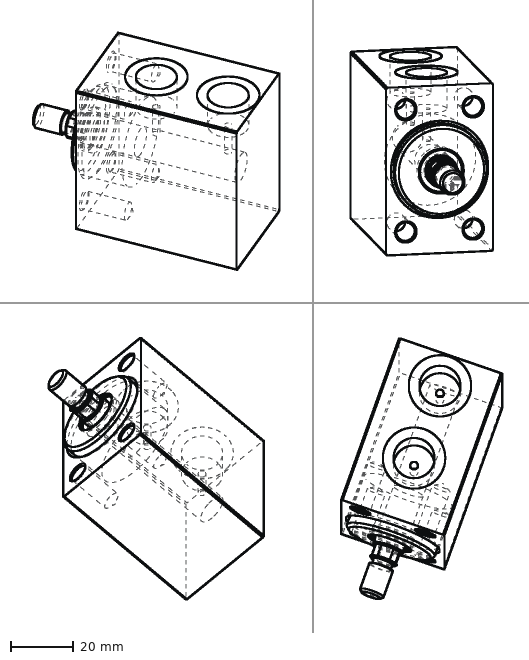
import cadquery as cq
import math


LENGTH = 56.0
WIDTH = 35.0
HEIGHT = 55.0
EDGE_CHAMFER = 0.5

MOUNT_SPACING_Y = 22.0
MOUNT_SPACING_Z = 40.05
MOUNT_DIAMETER = 6.0
MOUNT_MOUTH_DIAMETER = 7.0
MOUNT_DEPTH = 15.4
DRILL_TIP_ANGLE = 118.0

PORT_FRONT_X = 20.55
PORT_SPACING = 25.0
PORT_DIAMETER = 13.2
PORT_DEPTH = 12.0
SPOT_FACE_DIAMETER = 20.0
SPOT_FACE_DEPTH = 0.1
OIL_HOLE_DIAMETER = 2.5

GLAND_DIAMETER = 29.9
GLAND_PROJECTION = 3.0
GLAND_DEPTH = 15.0
GLAND_CHAMFER = 1.0
GLAND_POCKET_CHAMFER = 1.0

WIPER_DIAMETER = 14.6
WIPER_SINK = 0.5
WIPER_DISH_DIAMETER = 13.8
WIPER_DISH_DEPTH = 0.8
WIPER_LENGTH = 3.0

OVERALL_LENGTH = 77.0
ROD_PROJECTION = OVERALL_LENGTH - LENGTH
ROD_DIAMETER = 10.0
ROD_CHAMFER = 0.5
ROD_END_X = 50.05
THREAD_DIAMETER = 8.0
THREAD_CHAMFER = 0.8
THREAD_LENGTH = 9.7
RELIEF_DIAMETER = 6.4
RELIEF_TAPER_DIAMETER = 6.55
RELIEF_TAPER_LENGTH = 0.5
RELIEF_END = 11.6
FLATS_START = 12.1
FLATS_END = 16.0
FLATS_DIAMETER = ROD_DIAMETER - 2 * ROD_CHAMFER
ACROSS_FLATS = 8.0


def revolved(profile):
    """Solid turned about the X axis from its (x, radius) corners."""
    points = [(profile[0][0], 0), *profile]
    if profile[-1][1] > 0:
        points.append((profile[-1][0], 0))
    return cq.Workplane("XZ").polyline(points).close().revolve(360, (0, 0, 0), (1, 0, 0))


def cylinder_x(diameter, start, end):
    return revolved([(start, diameter / 2), (end, diameter / 2)])


def cylinder_z(diameter, x, bottom, top):
    return cq.Workplane("XY", origin=(x, 0, bottom)).circle(diameter / 2).extrude(top - bottom)


def mounting_hole(y, z):
    """Countersunk blind hole with a conical drill tip."""
    radius = MOUNT_DIAMETER / 2
    mouth_radius = MOUNT_MOUTH_DIAMETER / 2
    tip_length = radius / math.tan(math.radians(DRILL_TIP_ANGLE / 2))
    profile = [
        (0, mouth_radius),
        (mouth_radius - radius, radius),
        (MOUNT_DEPTH, radius),
        (MOUNT_DEPTH + tip_length, 0),
    ]
    return revolved(profile).translate((0, y, z))


def port(x):
    """Spot-faced port with a thin oil hole leading down to the rod."""
    top = HEIGHT / 2
    floor = top - PORT_DEPTH
    spot_face = cylinder_z(SPOT_FACE_DIAMETER, x, top - SPOT_FACE_DEPTH, top)
    bore = cylinder_z(PORT_DIAMETER, x, floor, top)
    oil_hole = cylinder_z(OIL_HOLE_DIAMETER, x, 0, floor)
    return spot_face.union(bore).union(oil_hole)


def gland_pocket():
    radius = GLAND_DIAMETER / 2
    profile = [
        (0, radius + GLAND_POCKET_CHAMFER),
        (GLAND_POCKET_CHAMFER, radius),
        (GLAND_DEPTH, radius),
    ]
    return revolved(profile)


def make_housing():
    block = cq.Workplane("XY").box(LENGTH, WIDTH, HEIGHT).translate((LENGTH / 2, 0, 0))
    block = block.edges("|X").chamfer(EDGE_CHAMFER)
    block = block.cut(gland_pocket())
    block = block.cut(cylinder_x(ROD_DIAMETER, 0, ROD_END_X))
    for x in (PORT_FRONT_X, PORT_FRONT_X + PORT_SPACING):
        block = block.cut(port(x))
    for y in (-MOUNT_SPACING_Y / 2, MOUNT_SPACING_Y / 2):
        for z in (-MOUNT_SPACING_Z / 2, MOUNT_SPACING_Z / 2):
            block = block.cut(mounting_hole(y, z))
    return block


def make_gland():
    face = -GLAND_PROJECTION
    radius = GLAND_DIAMETER / 2
    profile = [
        (face, radius - GLAND_CHAMFER),
        (face + GLAND_CHAMFER, radius),
        (GLAND_DEPTH, radius),
    ]
    wiper_seat = cylinder_x(WIPER_DIAMETER, face, face + WIPER_SINK + WIPER_LENGTH)
    rod_bore = cylinder_x(ROD_DIAMETER, face, GLAND_DEPTH)
    return revolved(profile).cut(wiper_seat).cut(rod_bore)


def make_wiper():
    """Ring around the rod, dished so that a thin rim stands at its outer edge."""
    front = -GLAND_PROJECTION + WIPER_SINK
    back = front + WIPER_LENGTH
    ring = cylinder_x(WIPER_DIAMETER, front, back)
    dish = cylinder_x(WIPER_DISH_DIAMETER, front, front + WIPER_DISH_DEPTH)
    rod_bore = cylinder_x(ROD_DIAMETER, front, back)
    return ring.cut(dish).cut(rod_bore)


def wrench_flats(tip):
    """Material around a square section that leaves four flats on the rod."""
    length = FLATS_END - FLATS_START
    blank = 2 * ROD_DIAMETER
    section = cq.Workplane("YZ", origin=(tip + FLATS_START, 0, 0))
    section = section.rect(blank, blank).rect(ACROSS_FLATS, ACROSS_FLATS)
    return section.extrude(length)


def make_rod():
    tip = -ROD_PROJECTION
    shoulder_radius = FLATS_DIAMETER / 2 - (FLATS_START - RELIEF_END)
    profile = [
        (tip, THREAD_DIAMETER / 2 - THREAD_CHAMFER),
        (tip + THREAD_CHAMFER, THREAD_DIAMETER / 2),
        (tip + THREAD_LENGTH, THREAD_DIAMETER / 2),
        (tip + THREAD_LENGTH, RELIEF_TAPER_DIAMETER / 2),
        (tip + THREAD_LENGTH + RELIEF_TAPER_LENGTH, RELIEF_DIAMETER / 2),
        (tip + RELIEF_END, RELIEF_DIAMETER / 2),
        (tip + RELIEF_END, shoulder_radius),
        (tip + FLATS_START, FLATS_DIAMETER / 2),
        (tip + FLATS_END, FLATS_DIAMETER / 2),
        (tip + FLATS_END + ROD_CHAMFER, ROD_DIAMETER / 2),
        (ROD_END_X, ROD_DIAMETER / 2),
    ]
    return revolved(profile).cut(wrench_flats(tip))


housing = make_housing()
gland = make_gland()
wiper = make_wiper()
rod = make_rod()

result = cq.Compound.makeCompound([housing.val(), gland.val(), wiper.val(), rod.val()])